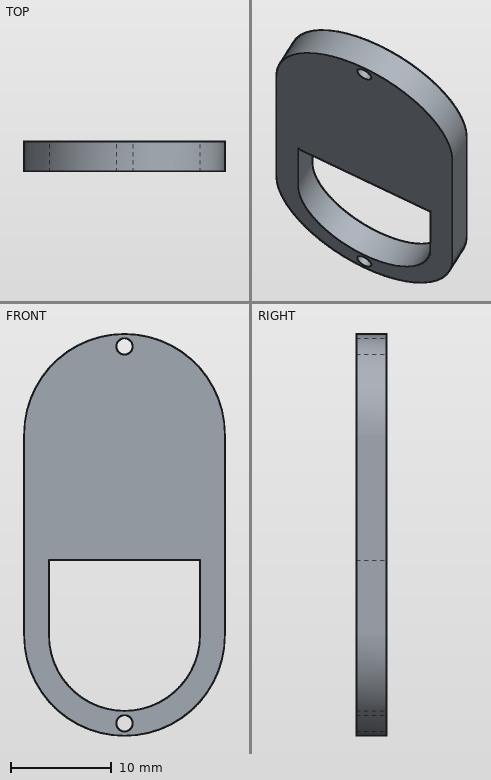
import cadquery as cq

width = 20.0
height = 40.0
thickness = 3.0
rim_width = 2.5
window_top_z = -2.5
hole_diameter = 1.6

end_radius = width / 2
end_center_z = height / 2 - end_radius
window_radius = end_radius - rim_width
hole_z = height / 2 - rim_width / 2


def plate():
    """Upright plate with full-round ends, centred on the origin."""
    return (
        cq.Workplane("XZ")
        .slot2D(height, width, angle=90)
        .extrude(thickness / 2, both=True)
    )


def window():
    """D-shaped opening: flat top, round bottom concentric with the lower end."""
    return (
        cq.Workplane("XZ")
        .moveTo(-window_radius, window_top_z)
        .lineTo(window_radius, window_top_z)
        .lineTo(window_radius, -end_center_z)
        .threePointArc(
            (0, -end_center_z - window_radius),
            (-window_radius, -end_center_z),
        )
        .close()
        .extrude(thickness / 2, both=True)
    )


def pin_holes():
    """Small through holes in the middle of the rim at the top and bottom."""
    return (
        cq.Workplane("XZ")
        .pushPoints([(0, hole_z), (0, -hole_z)])
        .circle(hole_diameter / 2)
        .extrude(thickness / 2, both=True)
    )


result = plate().cut(window()).cut(pin_holes())